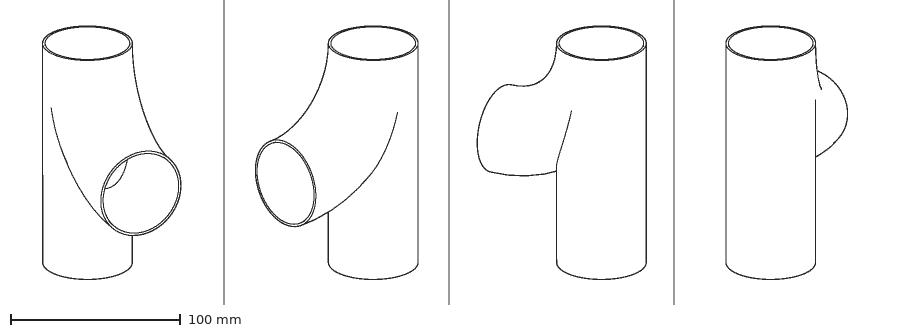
import cadquery as cq
import math

outer_diameter = 53.0
inner_diameter = 50.0
height = 140.0
overall_length = 96.5

outer_radius = outer_diameter / 2
bend_radius = overall_length - outer_radius
bend_angle = 90

miter_reach = bend_radius
miter_drop = 2 * math.sqrt(bend_radius * miter_reach)


def ring():
    return cq.Workplane("XY").circle(outer_radius).circle(inner_diameter / 2)


def straight_pipe():
    return ring().extrude(height)


def elbow():
    """Hollow quarter torus turning from the vertical pipe axis to the +X outlet."""
    bend = ring().revolve(bend_angle, (bend_radius, 0, 0), (bend_radius, -1, 0))
    return bend.translate((0, 0, height))


def elbow_side():
    """Block on the elbow side of the parabolic joint, bounded by the top face."""
    parabola = [
        (0, height),
        (0, height - miter_drop / 2),
        (miter_reach, height - miter_drop),
    ]
    return (
        cq.Workplane("XZ")
        .bezier(parabola)
        .lineTo(miter_reach, height)
        .close()
        .extrude(outer_diameter, both=True)
    )


pipe_part = straight_pipe().cut(elbow_side())
elbow_part = elbow().intersect(elbow_side())
result = pipe_part.union(elbow_part)